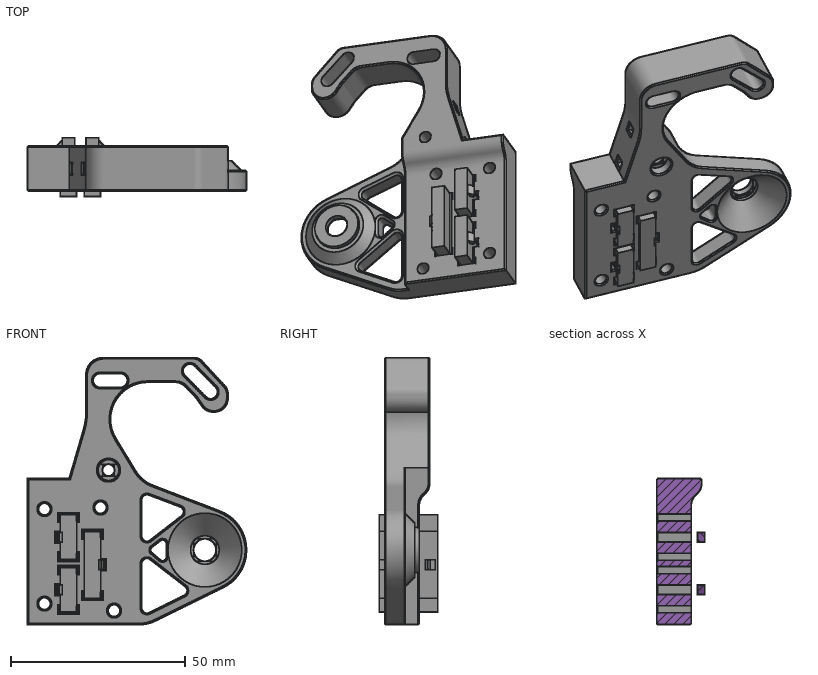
import cadquery as cq
import math


hook_depth = 13.0
plate_depth = 10.0
arm_depth = 6.0
edge_chamfer = 0.4
window_rear_chamfer = 0.7

shoulder_height = 42.0
shoulder_width = 12.0
hook_left = 16.8
hook_top = 76.73
plate_right = 30.5

step_top = 40.6
step_bottom = 34.3

bay_x = 34.5
bay_z = 59.0
bay_radius = 10.6
flank_angle = -58.8

finger_right = 57.65
finger_bottom = 61.05
finger_outer_corner = 49.2
finger_outer_angle = -47.2
finger_inner_corner = 44.2
finger_inner_bend = (48.35, 65.3)
finger_tip_angle = -55.0

disc_radius = 12.0
cup_x = 62.98 - disc_radius
cup_z = 21.45
arm_top_slope = -21.0
arm_bottom_slope = 26.2
arm_root_left = 20.0
arm_root_height = 49.0

cup_radius = 10.6
cup_bore = 8.2
cup_hole = 6.4
boss_height = 2.75
boss_core_radius = 6.5
boss_base_radius = 10.45
recess_depth = 1.0
bridge_step = 0.25
post_hole = (23.3, 44.4)
post_bore = 6.0
post_bore_depth = 3.0
screw_hole = 3.4
screw_points = [(4.9, 33.2), (21.0, 33.65), (4.9, 6.05), (24.9, 4.05)]

oblong_width = 3.9
oblong_ends = [((20.85, 70.15), (26.75, 70.15)), ((46.7, 72.9), (52.65, 66.85))]

windows = [
    ([(32.85, 22.4), (32.85, 38.0), (46.4, 32.9)], 1.5),
    ([(32.85, 2.4), (32.85, 20.6), (47.2, 9.5)], 1.5),
    ([(34.8, 21.5), (39.85, 25.4), (39.85, 17.2)], 1.0),
]

tie_z = 49.65
tie_y = 6.42
tie_width = 2.9
tie_outer_radius = 7.35
tie_inner_radius = 5.0

clip_front = -1.57
clip_back = clip_front + 16.92
clip_width = 4.75
clip_neck_width = 3.7
clip_notch_length = 2.8
clip_long = 19.2
clip_short = 12.9
clip_places = [
    (11.81, 25.15, clip_short, -1),
    (11.81, 10.05, clip_short, -1),
    (18.68, 17.2, clip_long, 1),
]
barb_reach = 1.45
barb_root = 12.6
barb_heel = (0.75, 11.75)
barb_side = (1.25, 12.35)
barb_tip = (barb_reach, 13.1)
barb_nose = 14.6

relief_width = 5.4
relief_height = 1.95
relief_gap = 0.15
latch_window_height = 2.65
latch_window_reach = 1.2


def along(point, angle, distance):
    turn = math.radians(angle)
    return (point[0] + distance * math.cos(turn), point[1] + distance * math.sin(turn))


def meet(point_a, angle_a, point_b, angle_b):
    """Crossing of two lines, each given by a point and a direction in degrees."""
    ax, az = math.cos(math.radians(angle_a)), math.sin(math.radians(angle_a))
    bx, bz = math.cos(math.radians(angle_b)), math.sin(math.radians(angle_b))
    dx, dz = point_b[0] - point_a[0], point_b[1] - point_a[1]
    distance = (dx * bz - dz * bx) / (ax * bz - az * bx)
    return along(point_a, angle_a, distance)


def rounded_outline(corners):
    """Closed XZ wire through (x, z, radius) corners, each rounded by a tangent arc."""
    wire = cq.Workplane("XZ")
    started = False
    for i, (x, z, radius) in enumerate(corners):
        here = cq.Vector(x, z)
        before = cq.Vector(*corners[i - 1][:2])
        after = cq.Vector(*corners[(i + 1) % len(corners)][:2])
        to_before = (before - here).normalized()
        to_after = (after - here).normalized()
        half = to_before.getAngle(to_after) / 2
        setback = radius / math.tan(half)
        first = here + to_before * setback
        wire = wire.lineTo(first.x, first.y) if started else wire.moveTo(first.x, first.y)
        started = True
        if radius > 0:
            bisector = (to_before + to_after).normalized()
            middle = here + bisector * (radius / math.sin(half) - radius)
            last = here + to_after * setback
            wire = wire.threePointArc((middle.x, middle.y), (last.x, last.y))
    return wire.close()


def block(x, z, width, height, y_start, y_end):
    """Box centred on (x, z) that runs from y_start to y_end."""
    return cq.Workplane("XY").box(width, y_end - y_start, height).translate((x, (y_start + y_end) / 2, z))


def round_bar(x, z, diameter, y_start, y_end):
    centre = cq.Workplane("XZ", origin=(x, y_start, z))
    return centre.circle(diameter / 2).extrude(y_start - y_end)


def cone(x, z, start_radius, end_radius, y_start, y_end):
    return cq.Workplane(
        cq.Solid.makeCone(
            start_radius, end_radius, y_end - y_start, cq.Vector(x, y_start, z), cq.Vector(0, 1, 0)
        )
    )


flank_start = along((bay_x, bay_z), flank_angle - 90, bay_radius)
bay_top = bay_z + bay_radius


def hook_and_plate():
    """Thick part: the plate, the hook above it and the S-shaped step on the back."""
    bay_corner = meet(flank_start, flank_angle, (0, bay_top), 0)
    flank_end = meet(flank_start, flank_angle, (plate_right, 0), 90)
    finger_shoulder = meet((finger_outer_corner, hook_top), finger_outer_angle, (finger_right, 0), 90)
    finger_toe = meet(finger_inner_bend, finger_tip_angle, (0, finger_bottom), 0)
    outline = rounded_outline([
        (0, 0, 0),
        (0, shoulder_height, 0),
        (shoulder_width, shoulder_height, 0),
        (hook_left, 58.4, 17.5),
        (hook_left, hook_top, 5),
        (finger_outer_corner, hook_top, 3),
        (*finger_shoulder, 3.5),
        (finger_right, finger_bottom, 4),
        (*finger_toe, 4),
        (*finger_inner_bend, 0),
        (finger_inner_corner, bay_top, 4),
        (*bay_corner, bay_radius),
        (*flank_end, 0),
        (plate_right, 0, 0),
    ])
    body = outline.extrude(-hook_depth)

    half_height = (step_top - step_bottom) / 2
    half_depth = (hook_depth - plate_depth) / 2
    half_turn = math.atan(half_depth / half_height)
    step_radius = half_height / math.sin(2 * half_turn)
    sag = step_radius * (1 - math.cos(half_turn))
    rise = step_radius * math.sin(half_turn)
    back_cut = (
        cq.Workplane("YZ")
        .moveTo(hook_depth, step_top)
        .threePointArc(
            (hook_depth - sag, step_top - rise),
            (hook_depth - half_depth, step_top - half_height),
        )
        .threePointArc((plate_depth + sag, step_bottom + rise), (plate_depth, step_bottom))
        .lineTo(plate_depth, -1)
        .lineTo(hook_depth + 1, -1)
        .lineTo(hook_depth + 1, step_top)
        .close()
        .extrude(finger_right)
    )
    body = body.cut(back_cut)
    return body


def rear_rim(body):
    """Edges round the stepped back, without the lines where its faces meet."""
    rear_faces = [f for f in body.faces().vals() if f.normalAt().y > 0.3]
    edges = [e for f in rear_faces for e in f.Edges()]
    return [e for e in edges if sum(e.isSame(other) for other in edges) == 1]


def cup_arm():
    """Thin arm: straight edges tangent to the disc, three windows and the boss behind the cup."""
    cup = (cup_x, cup_z)
    top_touch = along(cup, arm_top_slope + 90, disc_radius)
    bottom_touch = along(cup, arm_bottom_slope - 90, disc_radius)
    disc_corner = meet(top_touch, arm_top_slope, bottom_touch, arm_bottom_slope)
    heel = meet(bottom_touch, arm_bottom_slope, (0, 0), 0)
    armpit = meet(top_touch, arm_top_slope, flank_start, flank_angle)
    root_top = meet(flank_start, flank_angle, (0, arm_root_height), 0)
    arm = rounded_outline([
        (arm_root_left, 0, 0),
        (arm_root_left, arm_root_height, 0),
        (*root_top, 0),
        (*armpit, 10),
        (*disc_corner, disc_radius),
        (*heel, 10),
    ]).extrude(-arm_depth)
    arm = arm.faces(">Y").chamfer(edge_chamfer)
    for corners, radius in windows:
        arm = arm.cut(rounded_outline([(x, z, radius) for x, z in corners]).extrude(-arm_depth))
    window_rims = [e for rim in arm.faces(">Y").val().innerWires() for e in rim.Edges()]
    arm = arm.newObject(window_rims).chamfer(window_rear_chamfer)
    boss = cone(cup_x, cup_z, boss_base_radius, boss_base_radius - boss_height,
                arm_depth, arm_depth + boss_height)
    core = round_bar(cup_x, cup_z, 2 * boss_core_radius, arm_depth, plate_depth)
    return arm.union(boss).union(core)


def stepped_hole(x, z, bore, hole, bore_start, bore_end):
    """Recess that narrows to its hole in two steps: a slot, then a square, each as wide as the hole."""
    slot_end = bore_end + bridge_step
    square_end = slot_end + bridge_step
    recess = round_bar(x, z, bore, bore_start, bore_end)
    slot = round_bar(x, z, bore, bore_end, slot_end).intersect(block(x, z, bore, hole, bore_end, slot_end))
    square = block(x, z, hole, hole, slot_end, square_end)
    return recess.union(slot).union(square).union(round_bar(x, z, hole, square_end, hook_depth))


def oblong(start, end):
    length = math.dist(start, end) + oblong_width
    angle = math.degrees(math.atan2(end[1] - start[1], end[0] - start[0]))
    centre = ((start[0] + end[0]) / 2, 0, (start[1] + end[1]) / 2)
    return cq.Workplane("XZ", origin=centre).slot2D(length, oblong_width, angle).extrude(-hook_depth)


def clip_reliefs(x, z, length, side):
    """Wider slot ends above and below a clip, and the window beside its barb."""
    offset = length / 2 + relief_gap - relief_height / 2
    upper = block(x, z + offset, relief_width, relief_height, 0, plate_depth)
    lower = block(x, z - offset, relief_width, relief_height, 0, plate_depth)
    window_x = x + side * (clip_width + latch_window_reach) / 2
    window = block(window_x, z, latch_window_reach, latch_window_height, 0, plate_depth)
    return upper.union(lower).union(window)


def tie_channel():
    """Ring-shaped passage centred on the sloped wall, so that it enters and leaves through it."""
    slope = (hook_left - shoulder_width) / (58.4 - shoulder_height)
    wall_x = shoulder_width + slope * (tie_z - shoulder_height)
    return (
        cq.Workplane("XZ", origin=(wall_x, tie_y - tie_width / 2, tie_z))
        .circle(tie_outer_radius)
        .circle(tie_inner_radius)
        .extrude(-tie_width)
    )


def make_holder():
    thick = hook_and_plate()
    thick = thick.newObject(rear_rim(thick)).chamfer(edge_chamfer)
    holder = thick.union(cup_arm())

    for start, end in oblong_ends:
        holder = holder.cut(oblong(start, end))
    for x, z in screw_points:
        holder = holder.cut(round_bar(x, z, screw_hole, 0, hook_depth))
    holder = holder.cut(stepped_hole(*post_hole, post_bore, screw_hole, 0, post_bore_depth))
    for place in clip_places:
        holder = holder.cut(clip_reliefs(*place))
    holder = holder.faces("<Y").chamfer(edge_chamfer)

    for x, z, length, _ in clip_places:
        holder = holder.cut(block(x, z, clip_width, length, 0, plate_depth))
    cone_depth = cup_radius - cup_bore / 2
    holder = holder.cut(cone(cup_x, cup_z, cup_radius, cup_bore / 2, 0, cone_depth))
    holder = holder.cut(
        stepped_hole(cup_x, cup_z, cup_bore, cup_hole, cone_depth, cone_depth + recess_depth)
    )
    holder = holder.cut(tie_channel())
    mouths = cq.selectors.BoxSelector(
        (shoulder_width - 0.1, tie_y - tie_width, shoulder_height + 0.1),
        (hook_left + 0.1, tie_y + tie_width, 59),
    )
    return holder.edges(mouths).chamfer(edge_chamfer)


def make_clip(x, z, length, side):
    """Bar through the plate with a narrower neck behind it and a barb on one side of the neck."""
    bar = block(0, 0, clip_width, length, clip_front, plate_depth)
    neck = block(0, 0, clip_neck_width, length, plate_depth, clip_back)
    notch_depth = (clip_width - clip_neck_width) / 2
    notch = block((clip_width - notch_depth) / 2, 0, notch_depth, clip_notch_length, clip_front, plate_depth)
    neck_side = clip_neck_width / 2
    profile = [(neck_side + reach, y) for reach, y in (barb_heel, barb_side, barb_tip)]
    barb = (
        cq.Workplane("XY", origin=(0, 0, -clip_notch_length / 2))
        .moveTo(neck_side, barb_root)
        .polyline(profile, includeCurrent=True)
        .lineTo(neck_side, barb_nose)
        .close()
        .extrude(clip_notch_length)
    )
    clip = bar.union(neck).cut(notch).union(barb)
    if side < 0:
        clip = clip.mirror("YZ")
    return clip.translate((x, 0, z))


holder = make_holder()
clips = [make_clip(*place) for place in clip_places]

clip_solids = [clip.solids().val() for clip in clips]
result = cq.Compound.makeCompound([holder.solids().val(), *clip_solids])